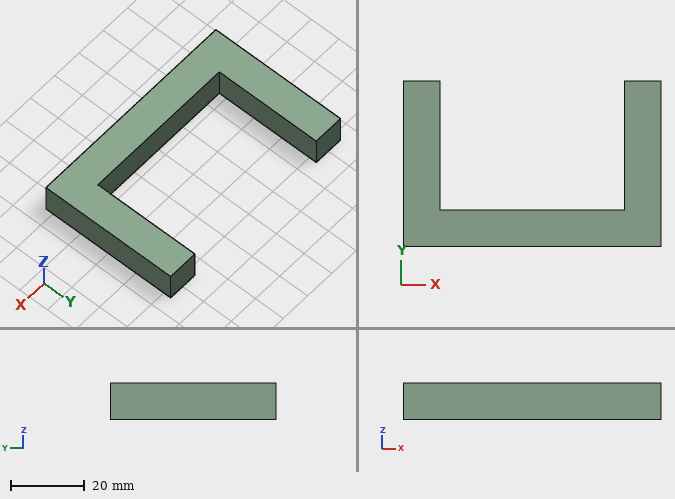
import cadquery as cq

length = 70.0
depth = 45.0
bar = 10.0

gap_width = length - 2 * bar
gap_depth = depth - bar

block = cq.Workplane("XY").box(length, depth, bar)
gap = cq.Workplane("XY").box(gap_width, gap_depth, bar).translate((0, bar / 2, 0))

result = block.cut(gap)